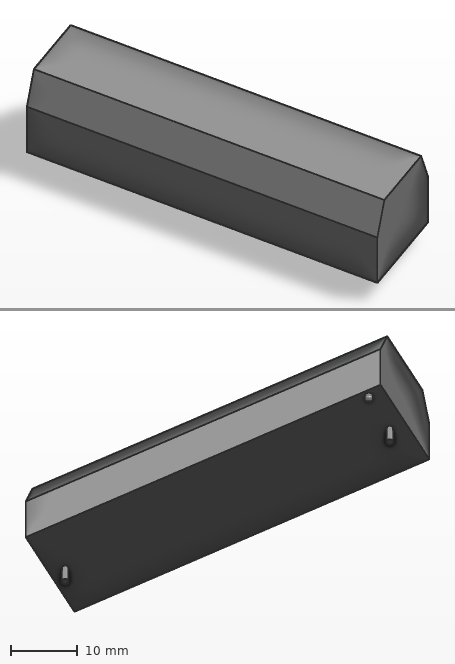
import cadquery as cq
import math

HOUSING_LENGTH = 59.93
HOUSING_WIDTH = 15.54
OVERALL_HEIGHT = 18.41
SLOPE_HEIGHT = 5.87
SLOPE_ANGLE = 20.0

PIN_DIAMETER = 0.97
PIN_LENGTH = 3.43
PIN_SPACING = 54.86

PEG_DIAMETER = 1.27
PEG_LENGTH = 1.14
PEG_OFFSET_Y = 6.73

housing_height = OVERALL_HEIGHT - PIN_LENGTH
pin_x = PIN_SPACING / 2


def make_housing():
    """Extrude the symmetric six-sided end profile along X."""
    half_width = HOUSING_WIDTH / 2
    slope_inset = SLOPE_HEIGHT * math.tan(math.radians(SLOPE_ANGLE))
    half_top = half_width - slope_inset
    shoulder_z = housing_height - SLOPE_HEIGHT
    profile = [
        (-half_width, 0),
        (half_width, 0),
        (half_width, shoulder_z),
        (half_top, housing_height),
        (-half_top, housing_height),
        (-half_width, shoulder_z),
    ]
    return cq.Workplane("YZ").polyline(profile).close().extrude(HOUSING_LENGTH / 2, both=True)


def make_post(x, y, diameter, length):
    """Straight round post hanging from the underside."""
    return cq.Workplane("XY").center(x, y).circle(diameter / 2).extrude(-length)


def make_peg():
    """Short post ending in a hemisphere."""
    radius = PEG_DIAMETER / 2
    straight_length = PEG_LENGTH - radius
    post = make_post(-pin_x, PEG_OFFSET_Y, PEG_DIAMETER, straight_length)
    dome = cq.Workplane("XY").sphere(radius).translate((-pin_x, PEG_OFFSET_Y, -straight_length))
    return post.union(dome)


result = make_housing()
for x in (-pin_x, pin_x):
    result = result.union(make_post(x, 0, PIN_DIAMETER, PIN_LENGTH))
result = result.union(make_peg())